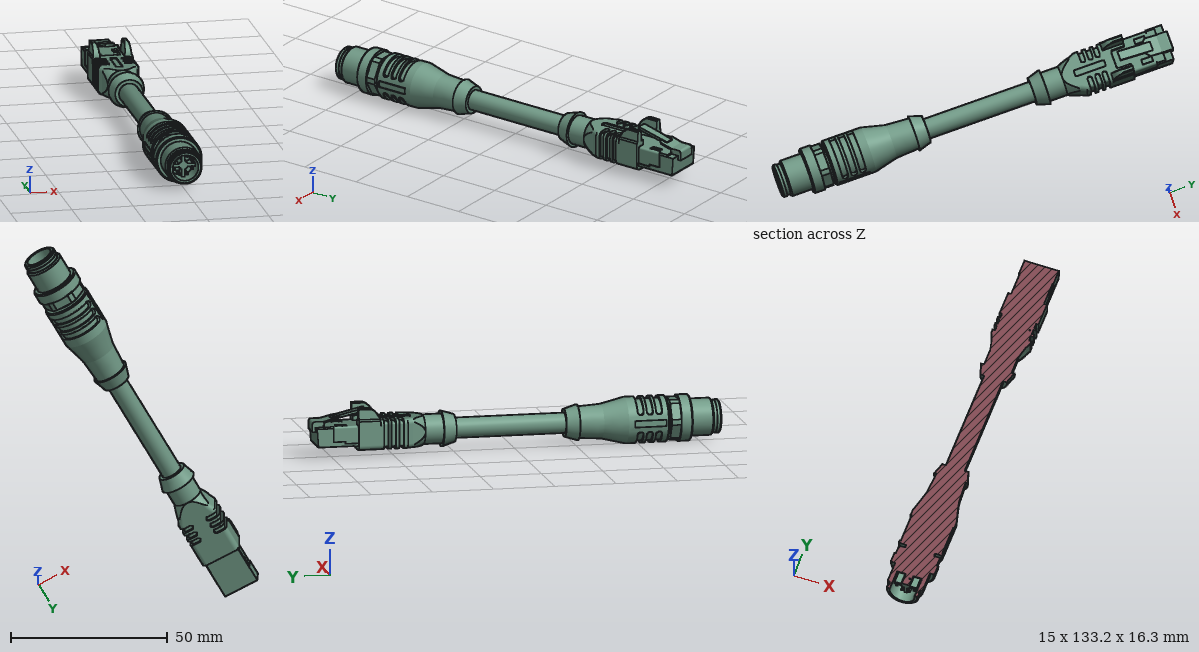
import cadquery as cq
import math

total_length = 133.2
top_height = 8.8

cable_dia = 6.6
collar_dia = 11.6
collar_end_dia = 9.0
collar_length = 4.2

rim_dia = 10.8
bore_dia = 8.4
bore_depth = 7.0
rim_length = 1.4
rim_chamfer = 0.4
relief_dia = 10.4
thread_dia = 12.0
thread_start = 2.5
thread_chamfer = 0.5
nut_dia = 15.0
nut_start = 9.8
nut_length = 3.7
nut_chamfer = 0.4
hex_flats = 13.0
hex_corner_dia = 14.1
hex_length = 3.1
neck_dia = 10.0
neck_length = 0.8

pin_dia = 0.6
pin_circle_dia = 6.4
pin_pairs = 4
pin_half_spread = 22.5
contact_recess = 3.2
shield_span = 7.6
shield_thickness = 1.0
shield_hub = 4.0

grip_dia = 15.0
grip_chamfer = 0.4
grip_start = nut_start + nut_length + hex_length + neck_length
grip_end = 30.7
taper_end = 38.4
taper_end_dia = 11.2
grip_tail_end = 46.2
grip_tail_dia = 10.2
grip_slot_pitch = 3.0
grip_slot_first = 20.7
grip_slot_count = 3
grip_slot_centers = [grip_slot_first + i * grip_slot_pitch for i in range(grip_slot_count)]
grip_slot_width = 2.0
grip_slot_depth = 0.75
grip_slot_height = 2.8
bar_length = 10.3
bar_width = 2.1
bar_depth = 0.4
bar_corner = 0.4
grip_bar_center = 23.6

boot_width = 13.3
boot_height = 9.6
boot_corner = 1.6
boot_front = 118.7
boot_collar_start = 86.4
flare_start = 96.6
flare_mid = 98.6
flare_end = 103.1
flare_mid_radius = 5.9
flare_end_radius = 7.65
taper_start = 102.7
taper_break = 100.9
taper_break_width = 11.6
boot_slot_centers = [104.75, 107.35, 109.75]
boot_slot_width = 1.5
boot_slot_depth = 0.8
boot_slot_inner = 2.5
boot_bar_center = 105.9
mouth_width = 6.2
mouth_length = 4.6
mouth_depth = 1.6
mouth_corner = 0.6

ear_back = 111.6
ear_root_z = 4.2
ear_flat_length = 3.2
ear_mid_y = 113.0
ear_mid_z = 7.4
ear_inner_root = 3.9
ear_inner_top = 4.5
ear_outer_top = 6.0
ear_ledge_z = 4.7
ear_ledge_top = 5.3
ear_ledge_depth = 0.35
ear_edge_chamfer = 0.3

plug_width = 11.8
plug_half_height = 3.25
plug_end = 132.3
plug_face_slant = 0.5
plug_root = 112.0
plug_edge_radius = 0.7
plug_front_chamfer = 0.5
side_step_depth = 0.25
side_step_y = 126.8
side_step_low_y = 123.0
side_step_low_z = -1.7
side_ledge_z = -2.4
corner_notch_length = 2.6
corner_notch_depth = 0.5
window_width = 1.65
window_length = 3.5
window_center_x = 3.5
window_center_y = 124.1
window_depth = 0.6

latch_root_width = 6.1
latch_root_length = 3.8
latch_root_bottom = 1.3
latch_root_top = 4.6
latch_root_radius = 0.8
latch_thickness = 0.45
latch_taper_start = 125.5
latch_taper_end = 124.0
latch_tip_y = 115.8
latch_tip_z = 8.1
latch_width = 3.0
rib_front = 126.8
rib_rise = 0.25
rib_thickness = 0.9


def revolve_profile(points):
    """Solid of revolution about Y from (radius, y) corners, closed along the axis."""
    closed = [(0, points[0][1])] + points + [(0, points[-1][1])]
    return cq.Workplane("XY").polyline(closed).close().revolve(360, (0, 0), (0, 1))


def rod(diameter, start, length):
    """Cylinder along +Y."""
    return cq.Workplane("XZ", origin=(0, start, 0)).circle(diameter / 2).extrude(-length)


def box(x_size, y_range, z_range):
    """Block centred on X = 0."""
    y_size = y_range[1] - y_range[0]
    z_size = z_range[1] - z_range[0]
    return cq.Workplane("XY").box(x_size, y_size, z_size, centered=(True, False, False)).translate(
        (0, y_range[0], z_range[0]))


def side_profile(points, x_size):
    """Prism of a (y, z) outline, centred on X = 0."""
    return cq.Workplane("YZ").polyline(points).close().extrude(x_size / 2, both=True)


def make_m12_nose():
    """Rim, relief groove, thread sleeve and coupling nut, with the open bore."""
    nut_end = nut_start + nut_length
    nose = revolve_profile([
        (rim_dia / 2 - rim_chamfer, 0),
        (rim_dia / 2, rim_chamfer),
        (rim_dia / 2, rim_length),
        (relief_dia / 2, rim_length),
        (relief_dia / 2, thread_start),
        (thread_dia / 2 - thread_chamfer, thread_start),
        (thread_dia / 2, thread_start + thread_chamfer),
        (thread_dia / 2, nut_start),
        (nut_dia / 2 - nut_chamfer, nut_start),
        (nut_dia / 2, nut_start + nut_chamfer),
        (nut_dia / 2, nut_end),
        (neck_dia / 2, nut_end),
        (neck_dia / 2, grip_start),
    ])
    hexagon = cq.Workplane("XZ", origin=(0, nut_end, 0)).polygon(
        6, hex_flats / math.cos(math.pi / 6)).extrude(-hex_length)
    hexagon = hexagon.intersect(rod(hex_corner_dia, nut_end, hex_length))
    return nose.union(hexagon).cut(rod(bore_dia, 0, bore_depth))


def make_contacts():
    """Shield cross with a diamond hub, and a pair of pins in each quadrant."""
    length = bore_depth - contact_recess
    face = cq.Workplane("XZ", origin=(0, contact_recess, 0))
    contacts = face.rect(shield_span, shield_thickness).extrude(-length)
    contacts = contacts.union(face.rect(shield_thickness, shield_span).extrude(-length))
    contacts = contacts.union(face.polygon(4, shield_hub).extrude(-length))
    for pair in range(pin_pairs):
        for side in (-1, 1):
            angle = math.radians((pair + 0.5) * 360 / pin_pairs + side * pin_half_spread)
            x = pin_circle_dia / 2 * math.cos(angle)
            z = pin_circle_dia / 2 * math.sin(angle)
            contacts = contacts.union(face.center(x, z).circle(pin_dia / 2).extrude(-length))
    return contacts


def make_grip_slots():
    """Round-ended finger slots over the upper and lower halves of the grip."""
    start = grip_slot_centers[0] - grip_slot_width
    length = grip_slot_centers[-1] + grip_slot_width - start
    skin = rod(2 * grip_dia, start, length).cut(rod(grip_dia - 2 * grip_slot_depth, start, length))
    slot_length = grip_dia
    middle_z = grip_slot_height + slot_length / 2
    centers = [(y, side * middle_z) for y in grip_slot_centers for side in (-1, 1)]
    slots = cq.Workplane("YZ").pushPoints(centers).slot2D(
        slot_length, grip_slot_width, 90).extrude(grip_dia, both=True)
    return skin.intersect(slots)


def make_bar(center_y, base_z):
    """Rounded bar lying along Y, rising from base_z; used as a recess cutter."""
    return cq.Workplane("XY", origin=(0, center_y, base_z)).rect(bar_width, bar_length).extrude(
        2 * bar_depth).edges("|Z").fillet(bar_corner)


def make_grip():
    """Moulded M12 grip, tapering to the cable collar, with slots and side bars."""
    grip = revolve_profile([
        (grip_dia / 2 - grip_chamfer, grip_start),
        (grip_dia / 2, grip_start + grip_chamfer),
        (grip_dia / 2, grip_end),
        (taper_end_dia / 2, taper_end),
        (grip_tail_dia / 2, grip_tail_end),
        (collar_dia / 2, grip_tail_end),
        (collar_end_dia / 2, grip_tail_end + collar_length),
    ])
    grip = grip.cut(make_grip_slots())
    bar = make_bar(grip_bar_center, grip_dia / 2 - bar_depth)
    for side in (-90, 90):
        grip = grip.cut(bar.rotate((0, 0, 0), (0, 1, 0), side))
    return grip


def make_boot_block():
    """Rounded block, tapered in plan and trimmed by a flared surface of revolution."""
    block = cq.Workplane("XY").polyline([
        (boot_width / 2, boot_front),
        (boot_width / 2, taper_start),
        (taper_break_width / 2, taper_break),
        (boot_height / 2, flare_start),
        (-boot_height / 2, flare_start),
        (-taper_break_width / 2, taper_break),
        (-boot_width / 2, taper_start),
        (-boot_width / 2, boot_front),
    ]).close().extrude(boot_height / 2, both=True)
    block = block.edges("(<Z or >Z) and (not <Y) and (not >Y)").fillet(boot_corner)
    flare = (
        cq.Workplane("XY")
        .moveTo(0, flare_start)
        .lineTo(boot_height / 2, flare_start)
        .threePointArc((flare_mid_radius, flare_mid), (flare_end_radius, flare_end))
        .lineTo(flare_end_radius, boot_front)
        .lineTo(0, boot_front)
        .close()
        .revolve(360, (0, 0), (0, 1))
    )
    return block.intersect(flare)


def make_boot_slots():
    """Finger slots wrapping both flanks of the boot and stopping short of its middle."""
    core_height = boot_height - 2 * boot_slot_depth
    core_width = boot_width - 2 * boot_slot_depth
    core = box(core_width, (flare_start, boot_front), (-core_height / 2, core_height / 2))
    core = core.edges("|Y").fillet(boot_corner - boot_slot_depth)
    slot_length = boot_width
    middle_x = boot_slot_inner + slot_length / 2
    centers = [(side * middle_x, y) for y in boot_slot_centers for side in (-1, 1)]
    slots = cq.Workplane("XY").pushPoints(centers).slot2D(
        slot_length, boot_slot_width).extrude(boot_height, both=True)
    return slots.cut(core)


def make_ears():
    """Two guards standing beside the latch, thinner at the top and rounded at the back."""
    side = (
        cq.Workplane("YZ")
        .moveTo(ear_back, ear_root_z)
        .threePointArc((ear_mid_y, ear_mid_z), (boot_front - ear_flat_length, top_height))
        .lineTo(boot_front, top_height)
        .lineTo(boot_front, ear_root_z - boot_corner)
        .lineTo(ear_back, ear_root_z - boot_corner)
        .close()
        .extrude(boot_width, both=True)
    )
    section = cq.Workplane("XZ", origin=(0, ear_back, 0)).polyline([
        (ear_inner_root, ear_root_z - boot_corner),
        (boot_width / 2, ear_root_z - boot_corner),
        (boot_width / 2, ear_ledge_z),
        (boot_width / 2 - ear_ledge_depth, ear_ledge_top),
        (ear_outer_top, top_height),
        (ear_inner_top, top_height),
        (ear_inner_root, ear_root_z),
    ]).close().extrude(-(boot_front - ear_back))
    ear = side.intersect(section)
    ear = ear.faces(">Z").edges("|Y").chamfer(ear_edge_chamfer)
    return ear.union(ear.mirror("YZ"))


def make_boot():
    """RJ45 boot: collar, round tail, grooved block, latch mouth and guard ears."""
    tail = revolve_profile([
        (collar_end_dia / 2, boot_collar_start),
        (collar_dia / 2, boot_collar_start + collar_length),
        (boot_height / 2, boot_collar_start + collar_length),
        (boot_height / 2, flare_end),
    ])
    boot = tail.union(make_boot_block()).cut(make_boot_slots())
    boot = boot.cut(make_bar(boot_bar_center, boot_height / 2 - bar_depth))
    mouth_bottom = boot_height / 2 - mouth_depth
    mouth = box(mouth_width, (boot_front - mouth_length, boot_front), (mouth_bottom, top_height))
    boot = boot.cut(mouth.edges("|Z and <Y").fillet(mouth_corner))
    return boot.union(make_ears())


def make_plug():
    """RJ45 plug body with stepped flanks, front corner notches and top windows."""
    step = side_profile([
        (plug_root, -plug_half_height),
        (plug_end - plug_face_slant, -plug_half_height),
        (plug_end, plug_half_height),
        (side_step_y, plug_half_height),
        (side_step_y, side_step_low_z),
        (side_step_low_y, side_step_low_z),
        (side_step_low_y, side_ledge_z),
        (plug_root, side_ledge_z),
    ], plug_width)
    step = step.faces(">Z").edges("<X or >X").chamfer(plug_front_chamfer)
    core_width = plug_width - 2 * side_step_depth
    core = box(core_width, (plug_root, side_step_y), (-plug_half_height, plug_half_height))
    plug = core.edges("|Y and >Z").fillet(plug_edge_radius).union(step)

    notch_z = (plug_half_height - corner_notch_depth, plug_half_height)
    notch_y = (plug_end - corner_notch_length, plug_end)
    notches = box(plug_width, notch_y, notch_z).cut(box(latch_root_width, notch_y, notch_z))
    plug = plug.cut(notches)
    windows = cq.Workplane("XY", origin=(0, 0, plug_half_height)).pushPoints(
        [(side * window_center_x, window_center_y) for side in (-1, 1)]
    ).rect(window_width, window_length).extrude(-window_depth)
    return plug.cut(windows)


def make_latch():
    """Root block on the plug nose, a sloping tongue and the raised rib along it."""
    root_back = total_length - latch_root_length
    slope = (latch_tip_z - latch_root_top) / (root_back - latch_tip_y)
    root = box(latch_root_width, (root_back, total_length), (latch_root_bottom, latch_root_top))
    root = root.edges("|X and >Y and >Z").fillet(latch_root_radius)

    rib_front_z = latch_root_top + slope * (root_back - rib_front) + rib_rise
    tongue = side_profile([
        (root_back, latch_root_top),
        (latch_tip_y, latch_tip_z),
        (latch_tip_y, latch_tip_z - latch_thickness),
        (root_back, latch_root_top - latch_thickness),
    ], latch_root_width)
    outline = cq.Workplane("XY").polyline([
        (latch_root_width / 2, root_back),
        (latch_root_width / 2, latch_taper_start),
        (latch_width / 2, latch_taper_end),
        (latch_width / 2, latch_tip_y),
        (-latch_width / 2, latch_tip_y),
        (-latch_width / 2, latch_taper_end),
        (-latch_root_width / 2, latch_taper_start),
        (-latch_root_width / 2, root_back),
    ]).close().extrude(top_height)
    rib = side_profile([
        (rib_front, rib_front_z),
        (latch_tip_y, latch_tip_z),
        (latch_tip_y, latch_tip_z - rib_thickness),
        (rib_front, rib_front_z - rib_thickness),
    ], latch_width)
    return root.union(tongue.intersect(outline)).union(rib)


cable = rod(cable_dia, grip_end, flare_start - grip_end)

result = (
    make_m12_nose()
    .union(make_contacts())
    .union(make_grip())
    .union(cable)
    .union(make_boot())
    .union(make_plug())
    .union(make_latch())
)